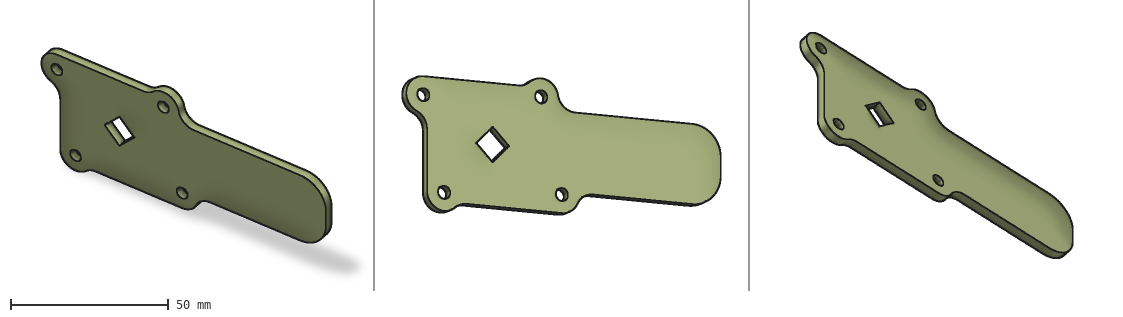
import cadquery as cq
import math

thickness = 3.2
boss_radius = 6.0
fillet_radius = 6.0
hole_diameter = 4.2
window_side = 8.1

outer_hole_x = 24.25
outer_hole_z = 14.0
inner_hole = 17.0

handle_end_x = 79.92
handle_half_height = 13.0
handle_corner_radius = 10.0

body_left_x = -(inner_hole + boss_radius)
body_half_height = outer_hole_z + boss_radius

upper_left = (-outer_hole_x, outer_hole_z)
upper_right = (inner_hole, inner_hole)
lower_right = (outer_hole_x, -outer_hole_z)
lower_left = (-inner_hole, -inner_hole)
hole_centers = [upper_left, upper_right, lower_right, lower_left]


def other_leg(leg):
    """Second offset between an ear center and a fillet center touching it."""
    return math.sqrt((boss_radius + fillet_radius) ** 2 - leg ** 2)


def fillet_beside_ear(ear, edge_z, side):
    """Center of the fillet joining an ear to a horizontal edge, on the given X side (-1 or 1)."""
    center_z = edge_z + math.copysign(fillet_radius, edge_z)
    return ear[0] + side * other_leg(center_z - ear[1]), center_z


def fillet_below_ear(ear, edge_x):
    """Center of the fillet joining an ear to a vertical edge on the left, below the ear."""
    center_x = edge_x - fillet_radius
    return center_x, ear[1] - other_leg(center_x - ear[0])


def touch_point(ear, fillet_center):
    """Point where an ear and its fillet touch."""
    share = boss_radius / (boss_radius + fillet_radius)
    return tuple(e + share * (f - e) for e, f in zip(ear, fillet_center))


def make_plate():
    top_body = fillet_beside_ear(upper_right, body_half_height, -1)
    top_handle = fillet_beside_ear(upper_right, handle_half_height, 1)
    bottom_handle = fillet_beside_ear(lower_right, -handle_half_height, 1)
    bottom_body = fillet_beside_ear(lower_left, -body_half_height, 1)
    left_body = fillet_below_ear(upper_left, body_left_x)

    corner_x = handle_end_x - handle_corner_radius
    corner_z = handle_half_height - handle_corner_radius

    outline = (
        cq.Workplane("XZ")
        .moveTo(upper_left[0], body_half_height)
        .lineTo(top_body[0], body_half_height)
        .tangentArcPoint(touch_point(upper_right, top_body), relative=False)
        .tangentArcPoint(touch_point(upper_right, top_handle), relative=False)
        .tangentArcPoint((top_handle[0], handle_half_height), relative=False)
        .lineTo(corner_x, handle_half_height)
        .tangentArcPoint((handle_end_x, corner_z), relative=False)
        .lineTo(handle_end_x, -corner_z)
        .tangentArcPoint((corner_x, -handle_half_height), relative=False)
        .lineTo(bottom_handle[0], -handle_half_height)
        .tangentArcPoint(touch_point(lower_right, bottom_handle), relative=False)
        .tangentArcPoint((lower_right[0], -body_half_height), relative=False)
        .lineTo(bottom_body[0], -body_half_height)
        .tangentArcPoint(touch_point(lower_left, bottom_body), relative=False)
        .tangentArcPoint((body_left_x, lower_left[1]), relative=False)
        .lineTo(body_left_x, left_body[1])
        .tangentArcPoint(touch_point(upper_left, left_body), relative=False)
        .tangentArcPoint((upper_left[0], body_half_height), relative=False)
        .close()
    )
    return outline.extrude(thickness)


def make_screw_holes():
    return (
        cq.Workplane("XZ")
        .pushPoints(hole_centers)
        .circle(hole_diameter / 2)
        .extrude(thickness)
    )


def make_window():
    return (
        cq.Workplane("XZ")
        .transformed(rotate=(0, 0, 45))
        .rect(window_side, window_side)
        .extrude(thickness)
    )


result = make_plate().cut(make_screw_holes()).cut(make_window())